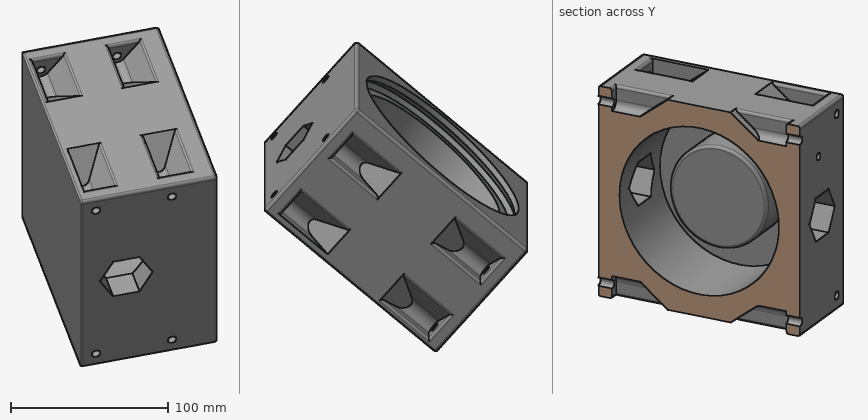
import cadquery as cq
import math

LENGTH = 145.0
DEPTH = 90.0
HEIGHT = 145.0
EDGE_RADIUS = 2.0
FRONT_EDGE_RADIUS = 1.2
BACK_Y = DEPTH / 2
TOUCH = 0.01

CAVITY_RADIUS = 57.1
FLOOR_THICKNESS = 5.1
FLOOR_Y = -BACK_Y + FLOOR_THICKNESS
HUB_RADIUS = 35.0
HUB_HEIGHT = 29.0

LID_RADIUS = 128.0 / 2
GROOVE_RADIUS = 134.4 / 2
GROOVE_DEPTH = GROOVE_RADIUS - LID_RADIUS
GROOVE_LAND = 4.0

HEX_ACROSS_FLATS = 30.0
HEX_Y = -15.1

BOLT_DIAMETER = 5.5
BOLT_Z = 62.5
BOLT_SPACING_Y = 50.0
BOLT_CENTRE_Y = -10.0
FRONT_ROW_Y = BOLT_CENTRE_Y - BOLT_SPACING_Y / 2
BACK_ROW_Y = BOLT_CENTRE_Y + BOLT_SPACING_Y / 2
BOLT_ROWS_Y = (FRONT_ROW_Y, BACK_ROW_Y)
POCKET_RADIUS = 5.5
POCKET_OUTER_X = 62.5
POCKET_INNER_X = 22.6
POCKET_SIDE_ANGLE = math.radians(50)
POCKET_RAMP_ANGLE = math.radians(38)
MOUTH_RADIUS = 1.9

TUNNEL_DIAMETER = 5.0
TUNNEL_Z = 42.3
TUNNEL_BEND_RADIUS = 18.8
TUNNEL_BEND_ANGLE = math.radians(45)


def back_cylinder(radius, start_y, end_y):
    """Cylinder about the Y axis between two Y positions."""
    return cq.Workplane("XZ", origin=(0, end_y, 0)).circle(radius).extrude(end_y - start_y)


def cavity():
    return back_cylinder(CAVITY_RADIUS, FLOOR_Y, BACK_Y)


def hub():
    """Rounded hub, rooted inside the cavity floor."""
    root_y = FLOOR_Y - FLOOR_THICKNESS / 2
    post = back_cylinder(HUB_RADIUS, root_y, FLOOR_Y + HUB_HEIGHT)
    return post.faces(">Y").edges().fillet(EDGE_RADIUS)


def lid_recess():
    groove_y = BACK_Y - GROOVE_LAND
    return (
        cq.Workplane("XY")
        .moveTo(0, BACK_Y)
        .lineTo(LID_RADIUS, BACK_Y)
        .lineTo(LID_RADIUS, groove_y)
        .lineTo(GROOVE_RADIUS, groove_y - GROOVE_DEPTH)
        .lineTo(LID_RADIUS, groove_y - 2 * GROOVE_DEPTH)
        .lineTo(0, groove_y - 2 * GROOVE_DEPTH)
        .close()
        .revolve(360, (0, 0), (0, 1))
    )


def hex_opening():
    across_corners = HEX_ACROSS_FLATS / math.cos(math.pi / 6)
    return (
        cq.Workplane("YZ", origin=(-LENGTH / 2, HEX_Y, 0))
        .polygon(6, across_corners)
        .extrude(LENGTH)
    )


def pocket(row_y):
    """Top left pocket: round bottom on the bolt axis, one leaning side and a ramped inner end."""
    top_z = HEIGHT / 2
    tangent_y = row_y + POCKET_RADIUS * math.sin(POCKET_SIDE_ANGLE)
    tangent_z = BOLT_Z - POCKET_RADIUS * math.cos(POCKET_SIDE_ANGLE)
    lean_y = tangent_y + (top_z - tangent_z) / math.tan(POCKET_SIDE_ANGLE)
    trough = (
        cq.Workplane("YZ", origin=(-POCKET_OUTER_X, 0, 0))
        .moveTo(row_y - POCKET_RADIUS, top_z)
        .lineTo(row_y - POCKET_RADIUS, BOLT_Z)
        .threePointArc((row_y, BOLT_Z - POCKET_RADIUS), (tangent_y, tangent_z))
        .lineTo(lean_y, top_z)
        .close()
        .extrude(POCKET_OUTER_X - POCKET_INNER_X)
    )
    ramp_drop = (POCKET_OUTER_X - POCKET_INNER_X) * math.tan(POCKET_RAMP_ANGLE)
    ramp_profile = (
        cq.Workplane("XZ", origin=(0, BACK_Y, 0))
        .moveTo(-POCKET_INNER_X, top_z)
        .lineTo(-POCKET_OUTER_X, top_z)
        .lineTo(-POCKET_OUTER_X, top_z - ramp_drop)
        .close()
        .extrude(DEPTH)
    )
    return trough.intersect(ramp_profile)


def four_way(shape):
    """Copies of a top left shape in all four corners of the XZ outline."""
    top = shape.union(shape.mirror("YZ"))
    return top.union(top.mirror("XY"))


def bolt_hole(row_y):
    """Hole from the left side into the top left pocket."""
    length = LENGTH / 2 - POCKET_OUTER_X + POCKET_RADIUS
    return (
        cq.Workplane("YZ", origin=(-LENGTH / 2, row_y, BOLT_Z))
        .circle(BOLT_DIAMETER / 2)
        .extrude(length)
    )


def tunnel():
    """Tube swept along an arc that starts level at the left side."""
    start_x = -LENGTH / 2

    def bend_point(angle):
        return (
            start_x + TUNNEL_BEND_RADIUS * math.sin(angle),
            TUNNEL_Z + TUNNEL_BEND_RADIUS * (1 - math.cos(angle)),
        )

    path = (
        cq.Workplane("XZ", origin=(0, BOLT_CENTRE_Y, 0))
        .moveTo(start_x, TUNNEL_Z)
        .threePointArc(bend_point(TUNNEL_BEND_ANGLE / 2), bend_point(TUNNEL_BEND_ANGLE))
    )
    return (
        cq.Workplane("YZ", origin=(start_x, BOLT_CENTRE_Y, TUNNEL_Z))
        .circle(TUNNEL_DIAMETER / 2)
        .sweep(path)
    )


def rounded_mouth_edges(body):
    """Pocket mouth edges to round: all but the ramp ends and the long edge nearest the front at +X."""
    edges = []
    for edge in body.edges().vals():
        centre = edge.Center()
        on_mouth_face = abs(abs(centre.z) - HEIGHT / 2) < TOUCH
        on_pocket = POCKET_INNER_X + TOUCH < abs(centre.x) < POCKET_OUTER_X + TOUCH
        beside_front_right = centre.x > 0 and abs(centre.y - (FRONT_ROW_Y - POCKET_RADIUS)) < TOUCH
        if on_mouth_face and on_pocket and not beside_front_right:
            edges.append(edge)
    return edges


block = cq.Workplane("XY").box(LENGTH, DEPTH, HEIGHT)
block = block.edges("|Y or >Y").fillet(EDGE_RADIUS)
block = block.faces("<Y").edges().fillet(FRONT_EDGE_RADIUS)

for row_y in BOLT_ROWS_Y:
    block = block.cut(four_way(pocket(row_y)))
block = block.newObject(rounded_mouth_edges(block)).fillet(MOUTH_RADIUS)
for row_y in BOLT_ROWS_Y:
    block = block.cut(four_way(bolt_hole(row_y)))

block = block.cut(cavity()).cut(lid_recess()).cut(hex_opening()).cut(tunnel())
result = block.union(hub())